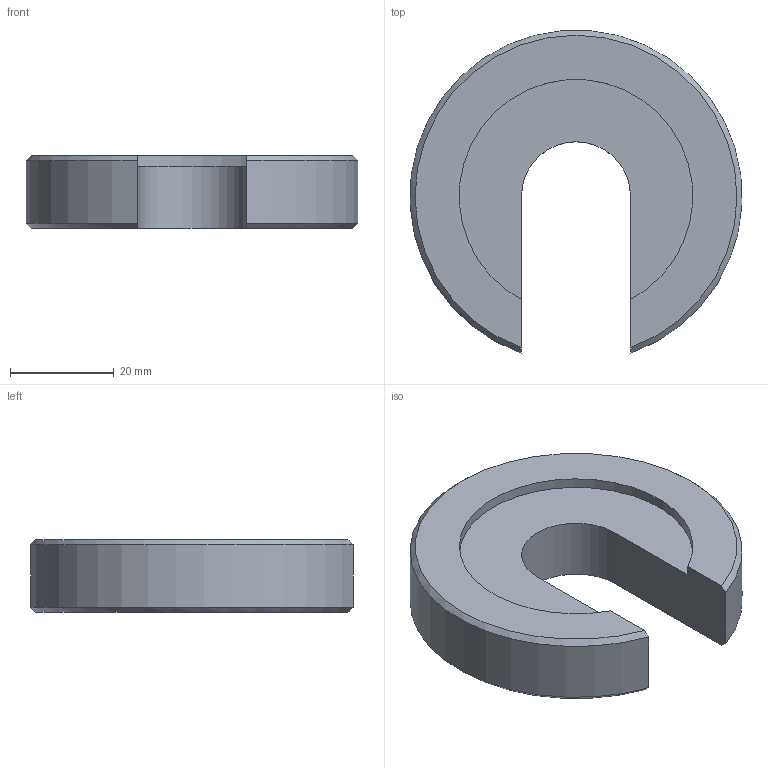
import cadquery as cq

outer_diameter = 64.0
thickness = 14.0
edge_chamfer = 1.0
seat_diameter = 45.0
seat_depth = 2.0
slot_width = 21.0

outer_radius = outer_diameter / 2
slot_radius = slot_width / 2


def make_disc():
    """Round disc with both rims chamfered."""
    disc = cq.Workplane("XY").circle(outer_radius).extrude(thickness)
    return disc.faces("<Z or >Z").edges().chamfer(edge_chamfer)


def make_seat():
    """Cylinder removed from the top face to form the seat."""
    seat_floor = thickness - seat_depth
    return cq.Workplane("XY").workplane(offset=seat_floor).circle(seat_diameter / 2).extrude(seat_depth)


def make_slot():
    """Through slot, round about the disc axis and open toward -Y."""
    profile = (
        cq.Workplane("XY")
        .moveTo(slot_radius, -outer_radius)
        .lineTo(slot_radius, 0)
        .threePointArc((0, slot_radius), (-slot_radius, 0))
        .lineTo(-slot_radius, -outer_radius)
        .close()
    )
    return profile.extrude(thickness)


result = make_disc().cut(make_seat()).cut(make_slot())